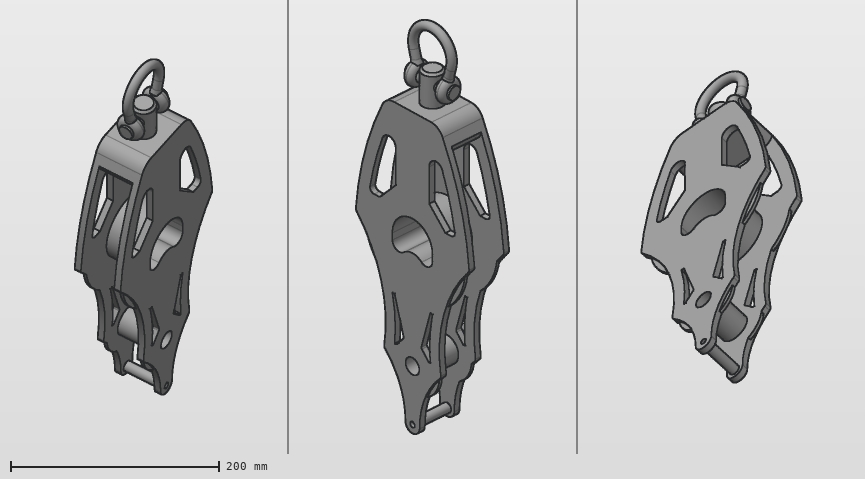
import cadquery as cq
import math

frame_width = 53.2
plate_thickness = 7.0
frame_top = 362.0
stock_half_width = 90.2
inner_gap = frame_width - 2 * plate_thickness

tip_radius = 10.0
side_radius, side_y, side_z = 365.5, -285.0, 189.0
waist_radius, waist_z = 162.5, 108.5
waist_half_width = 37.5
waist_y = waist_half_width + waist_radius
tail_radius = 97.0
tail_y = tip_radius + tail_radius
shoulder_rounding = 18.0
hip_rounding = 4.5
knee_rounding = 4.5
hip_z = 217.5
knee_z = 80.0

block_bottom = 330.0
block_edge_rounding = 11.7
block_half_width = 47.5

large_roller_z, large_roller_diameter, large_disc_radius = 214.0, 70.0, 70.0
small_roller_z, small_roller_diameter, small_disc_radius = 76.0, 31.5, 34.0
small_bore = 19.0
disc_thickness = 3.5
tail_pin_diameter, tail_pin_bore = 11.5, 6.5

heart_radius = 28.0
lobe_radius = 9.5
lobe_z = 205.7
bump_top = 203.0

upper_wall = 15.5
upper_inner_y = 23.5
upper_bottom = 246.0
upper_ramp_start_z = 269.0
upper_ramp_end_y = 46.0
upper_top_rounding = 9.5
upper_corner_rounding = 5.5
lower_wall = 13.5
lower_bottom, lower_top = 90.2, 146.0
lower_bottom_y, lower_top_y = 22.5, 25.0
lower_inner_y, lower_inner_z = 12.0, 102.0
lower_inner_rounding = 2.3

stud_diameter = 25.3
stud_top = 400.5
stud_chamfer = 2.5
shackle_pin_z = 385.5
shackle_pin_diameter = 15.5
shackle_pin_length = 62.0
eye_radius = 14.5
eye_y = 21.5
eye_thickness = 13.0
bow_wire_diameter = 10.5
bow_top = 451.0
bow_outer_radius = 32.0
neck_y, neck_z = 23.0, 401.5
neck_length = 6.5
neck_base_radius = 6.5


def rod(radius, y, z, length):
    """Cylinder along X, centred on the plane X = 0."""
    return cq.Workplane("YZ").center(y, z).circle(radius).extrude(length / 2, both=True)


def slab(y_start, y_end, z_start, z_end, length):
    """Box centred on the plane X = 0."""
    return cq.Workplane("XY").box(length, y_end - y_start, z_end - z_start).translate(
        (0, (y_start + y_end) / 2, (z_start + z_end) / 2)
    )


def both_sides(half):
    """Join a body with its mirror image across the plane Y = 0."""
    return half.union(half.mirror("XZ")).clean()


def round_corner(body, y, z, radius):
    """Round the corner edge along X that lies nearest to (y, z)."""
    nearest = cq.selectors.NearestToPointSelector((0, y, z))
    return body.edges("|X").edges(nearest).fillet(radius)


def frame_profile(length):
    """The plate outline as a prism along X."""
    half = slab(0, stock_half_width, tip_radius, frame_top, length)
    half = half.intersect(rod(side_radius, side_y, side_z, length))
    half = half.cut(rod(waist_radius, waist_y, waist_z, length))
    half = half.cut(rod(tail_radius, tail_y, tip_radius, length))
    half = round_corner(half, stock_half_width / 2, frame_top, shoulder_rounding)
    half = round_corner(half, stock_half_width, hip_z, hip_rounding)
    half = round_corner(half, waist_half_width, knee_z, knee_rounding)
    return both_sides(half).union(rod(tip_radius, 0, tip_radius, length))


def gap_below_block():
    """Space between the plates, with the lower edges of the block left rounded."""
    gap = slab(-stock_half_width, stock_half_width, 0, block_bottom + block_edge_rounding, inner_gap)
    block_foot = slab(
        -block_half_width, block_half_width, block_bottom, block_bottom + 2 * block_edge_rounding, inner_gap
    )
    block_foot = block_foot.edges("|X and <Z").fillet(block_edge_rounding)
    return gap.cut(block_foot)


def cheek_discs(radius, z):
    """A pair of discs flush with the inner faces of the plates."""
    discs = rod(radius, 0, z, inner_gap + 2 * disc_thickness)
    return discs.cut(rod(radius, 0, z, inner_gap))


def upper_windows():
    """Windows whose outer edge follows the side of the plate."""
    half = (
        cq.Workplane("YZ")
        .moveTo(upper_inner_y, frame_top)
        .lineTo(upper_inner_y, upper_ramp_start_z)
        .lineTo(upper_ramp_end_y, upper_bottom)
        .lineTo(stock_half_width, upper_bottom)
        .lineTo(stock_half_width, frame_top)
        .close()
        .extrude(frame_width / 2, both=True)
    )
    half = half.intersect(rod(side_radius - upper_wall, side_y, side_z, frame_width))
    half = round_corner(half, upper_inner_y, frame_top, upper_top_rounding)
    half = round_corner(half, stock_half_width, upper_bottom, upper_corner_rounding)
    return half.union(half.mirror("XZ"))


def lower_windows():
    """Narrow windows whose outer edge follows the waist of the plate."""
    half = (
        cq.Workplane("YZ")
        .moveTo(lower_bottom_y, lower_bottom)
        .lineTo(lower_inner_y, lower_inner_z)
        .lineTo(lower_top_y, lower_top)
        .lineTo(waist_half_width, lower_top)
        .lineTo(waist_half_width, lower_bottom)
        .close()
        .extrude(frame_width / 2, both=True)
    )
    half = half.cut(rod(waist_radius + lower_wall, waist_y, waist_z, frame_width))
    half = round_corner(half, lower_inner_y, lower_inner_z, lower_inner_rounding)
    return half.union(half.mirror("XZ"))


def heart_opening():
    """Round opening with two bottom lobes tangent to a bump between them."""
    lobe_y = heart_radius - lobe_radius
    lobe_rise = lobe_z - bump_top
    bump_radius = (lobe_y**2 + lobe_rise**2 - lobe_radius**2) / (2 * (lobe_radius - lobe_rise))
    bump_z = bump_top - bump_radius
    tangent_angle = math.atan2(lobe_z - bump_z, lobe_y)
    tangent_y = bump_radius * math.cos(tangent_angle)
    tangent_z = bump_z + bump_radius * math.sin(tangent_angle)
    lobe_low = (lobe_y, lobe_z - lobe_radius)
    return (
        cq.Workplane("YZ")
        .moveTo(-heart_radius, large_roller_z)
        .threePointArc((0, large_roller_z + heart_radius), (heart_radius, large_roller_z))
        .lineTo(heart_radius, lobe_z)
        .threePointArc(lobe_low, (tangent_y, tangent_z))
        .threePointArc((0, bump_top), (-tangent_y, tangent_z))
        .threePointArc((-lobe_low[0], lobe_low[1]), (-heart_radius, lobe_z))
        .close()
        .extrude(frame_width / 2, both=True)
    )


def stud():
    """Chamfered post standing on the frame."""
    post = cq.Workplane("XY").circle(stud_diameter / 2).extrude(stud_top - frame_top)
    return post.faces(">Z").chamfer(stud_chamfer).translate((0, 0, frame_top))


def shackle_eye():
    """Disc with a fully rounded rim, around the shackle pin on the +Y side."""
    rim_radius = eye_thickness / 2
    core_radius = eye_radius - rim_radius
    disc = cq.Workplane("XZ").circle(core_radius).extrude(rim_radius, both=True)
    rim = cq.Workplane(cq.Solid.makeTorus(core_radius, rim_radius, cq.Vector(0, 0, 0), cq.Vector(0, 1, 0)))
    return disc.union(rim).translate((0, eye_y, shackle_pin_z))


def shackle_bow():
    """Round wire bent over an arc, with straight legs tangent to it that run into the eyes."""
    wire_radius = bow_wire_diameter / 2
    bend_radius = bow_outer_radius - wire_radius
    bend_z = bow_top - bow_outer_radius
    drop = bend_z - neck_z
    touch = math.atan2(drop, neck_y) - math.acos(bend_radius / math.hypot(neck_y, drop))
    touch_y = bend_radius * math.cos(touch)
    touch_z = bend_z - bend_radius * math.sin(touch)
    leg_length = math.hypot(touch_y - neck_y, touch_z - neck_z)
    up = cq.Vector(0, (touch_y - neck_y) / leg_length, (touch_z - neck_z) / leg_length)
    base = cq.Vector(0, neck_y, neck_z) - up * neck_length

    path = (
        cq.Workplane("YZ")
        .moveTo(base.y, base.z)
        .lineTo(touch_y, touch_z)
        .threePointArc((0, bend_z + bend_radius), (-touch_y, touch_z))
        .lineTo(-base.y, base.z)
    )
    start = cq.Workplane(cq.Plane(origin=base, xDir=(1, 0, 0), normal=up))
    bow = start.circle(wire_radius).sweep(path)
    neck = cq.Workplane(cq.Solid.makeCone(neck_base_radius, wire_radius, neck_length, base, up))
    return bow.union(neck).union(neck.mirror("XZ"))


def shackle():
    """Pin, two eyes and the bow, with the pin running through the stud."""
    pin = cq.Workplane("XZ").circle(shackle_pin_diameter / 2).extrude(shackle_pin_length / 2, both=True)
    eye = shackle_eye()
    return pin.translate((0, 0, shackle_pin_z)).union(eye).union(eye.mirror("XZ")).union(shackle_bow())


body = frame_profile(frame_width).cut(gap_below_block())
body = body.union(cheek_discs(large_disc_radius, large_roller_z))
body = body.union(cheek_discs(small_disc_radius, small_roller_z))
body = body.union(rod(large_roller_diameter / 2, 0, large_roller_z, inner_gap))
body = body.union(rod(small_roller_diameter / 2, 0, small_roller_z, inner_gap))
body = body.union(rod(tail_pin_diameter / 2, 0, tip_radius, inner_gap))

body = body.cut(upper_windows()).cut(lower_windows()).cut(heart_opening())
body = body.cut(rod(small_bore / 2, 0, small_roller_z, frame_width))
body = body.cut(rod(tail_pin_bore / 2, 0, tip_radius, frame_width))

result = body.union(stud()).union(shackle())